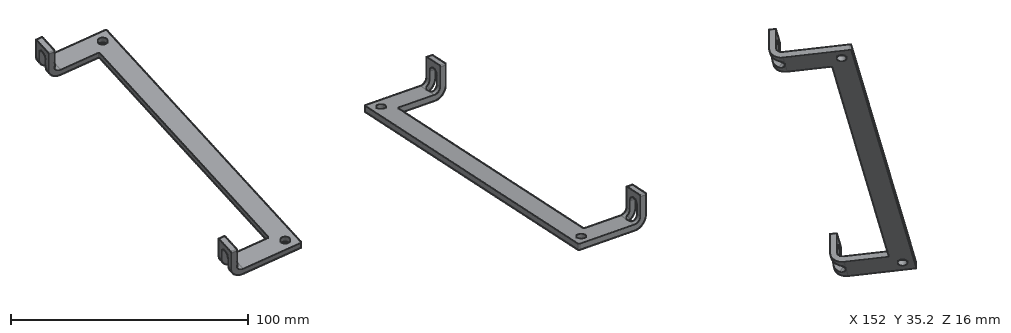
import math

import cadquery as cq

length = 152.0
depth = 35.23
height = 16.0
thickness = 3.0
strip_width = 10.0
bend_inner_radius = 3.0
corner_radius = 0.5
inner_corner_radius = 0.5

hole_diameter = 4.2
hole_inset = strip_width / 2

slot_width = 5.0
slot_top = 12.7
k_factor = 0.44
end_curve_points = 17
cut_clearance = 0.8

bend_outer_radius = bend_inner_radius + thickness
leg_x = (length - strip_width) / 2
slot_radius = slot_width / 2
neutral_radius = bend_inner_radius + k_factor * thickness
full_angle = slot_radius / neutral_radius
cutter_inner_radius = bend_inner_radius - cut_clearance
cutter_outer_radius = bend_outer_radius + cut_clearance


def bent_sheet():
    """L-profile sheet: flat base at Z = 0, upright flange with its front face at Y = 0."""
    profile = (
        cq.Workplane("YZ")
        .moveTo(depth, 0)
        .lineTo(bend_outer_radius, 0)
        .radiusArc((0, bend_outer_radius), bend_outer_radius)
        .lineTo(0, height)
        .lineTo(thickness, height)
        .lineTo(thickness, bend_outer_radius)
        .radiusArc((bend_outer_radius, thickness), -bend_inner_radius)
        .lineTo(depth, thickness)
        .close()
    )
    return profile.extrude(length / 2, both=True)


def opening_between_legs():
    """Cutter that leaves the back bar and the two legs, with rounded inner corners."""
    opening_width = length - 2 * strip_width
    opening_depth = depth - strip_width
    return (
        cq.Workplane("XY")
        .box(opening_width, opening_depth, height, centered=(True, False, False))
        .edges("|Z and >Y")
        .fillet(inner_corner_radius)
    )


def bend_point(x, angle, radius):
    """Point in the bend, at an angle measured from where the leg starts to curve."""
    y = bend_outer_radius - radius * math.sin(angle)
    z = bend_outer_radius - radius * math.cos(angle)
    return cq.Vector(x, y, z)


def rounded_slot_end():
    """Half-round slot end wrapped around the bend, its wall square to the sheet everywhere.

    The tip lies where the leg starts to curve, and the slot reaches full width at full_angle.
    """
    def end_curve(radius):
        points = []
        for i in range(end_curve_points):
            turn = math.pi * i / (end_curve_points - 1)
            x = -slot_radius * math.cos(turn)
            angle = full_angle * (1 - math.sin(turn))
            points.append(bend_point(x, angle, radius))
        return cq.Edge.makeSpline(points)

    def chord(radius):
        start = bend_point(-slot_radius, full_angle, radius)
        end = bend_point(slot_radius, full_angle, radius)
        return cq.Edge.makeLine(start, end)

    inner_curve = end_curve(cutter_inner_radius)
    outer_curve = end_curve(cutter_outer_radius)
    inner_chord = chord(cutter_inner_radius)
    outer_chord = chord(cutter_outer_radius)
    faces = [
        cq.Face.makeRuledSurface(inner_curve, outer_curve),
        cq.Face.makeRuledSurface(inner_chord, outer_chord),
        cq.Face.makeNSidedSurface([inner_curve, inner_chord], []),
        cq.Face.makeNSidedSurface([outer_curve, outer_chord], []),
    ]
    return cq.Workplane(cq.Solid.makeSolid(cq.Shell.makeShell(faces)))


def bend_slot(x):
    """Slot from the tab down through the bend, with a round end at the top and at the leg."""
    tab_center_z = slot_top - slot_radius
    near = bend_point(0, full_angle, cutter_inner_radius)
    far = bend_point(0, full_angle, cutter_outer_radius)
    straight_part = (
        cq.Workplane("YZ")
        .polyline([
            (near.y, near.z),
            (far.y, far.z),
            (-cut_clearance, far.z),
            (-cut_clearance, tab_center_z),
            (near.y, tab_center_z),
        ])
        .close()
        .extrude(slot_radius, both=True)
    )
    tab_end = (
        cq.Workplane("XZ", origin=(0, -cut_clearance, 0))
        .center(0, tab_center_z)
        .circle(slot_radius)
        .extrude(-(thickness + 2 * cut_clearance))
    )
    return straight_part.union(tab_end).union(rounded_slot_end()).translate((x, 0, 0))


def mounting_hole(x):
    """Round hole through the bar, at the root of one leg."""
    return (
        cq.Workplane("XY")
        .center(x, depth - hole_inset)
        .circle(hole_diameter / 2)
        .extrude(thickness)
    )


result = bent_sheet().cut(opening_between_legs())

result = result.edges("|Z and >Y").fillet(corner_radius)
result = result.faces(">Z").edges("|Y").fillet(corner_radius)

for side in (-1, 1):
    result = result.cut(bend_slot(side * leg_x))
    result = result.cut(mounting_hole(side * leg_x))